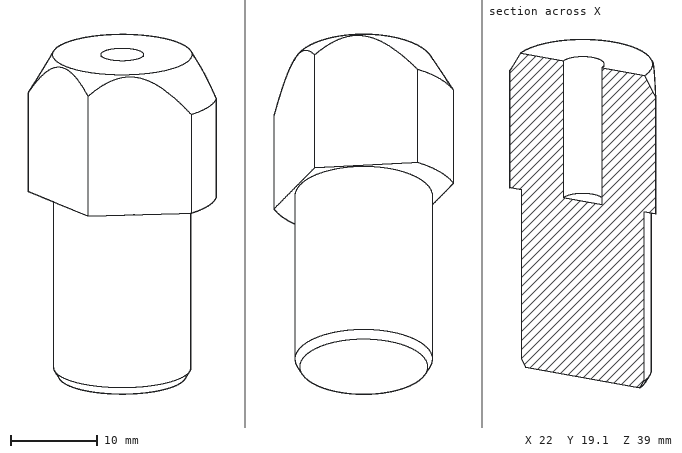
import cadquery as cq
import math

total_height = 39.0
head_height = 17.0
head_diameter = 22.0
head_width = 19.05
flat_angle = 30.0
top_diameter = 16.22
bevel_angle = 30.0
shank_diameter = 16.0
tip_chamfer_height = 0.98
tip_chamfer_angle = 30.0
hole_diameter = 5.0
hole_depth = head_height

shank_height = total_height - head_height
head_radius = head_diameter / 2
top_radius = top_diameter / 2
bevel_height = (head_radius - top_radius) / math.tan(math.radians(bevel_angle))
tip_chamfer_width = tip_chamfer_height * math.tan(math.radians(tip_chamfer_angle))


def make_head():
    """Round, cone-topped blank trimmed by four flats that form a rhombus."""
    blank = (
        cq.Workplane("XZ")
        .moveTo(0, shank_height)
        .lineTo(head_radius, shank_height)
        .lineTo(head_radius, total_height - bevel_height)
        .lineTo(top_radius, total_height)
        .lineTo(0, total_height)
        .close()
        .revolve(360, (0, 0, 0), (0, 1, 0))
    )
    half_width = head_width / 2
    half_length = half_width / math.tan(math.radians(flat_angle))
    flats = (
        cq.Workplane("XY", origin=(0, 0, shank_height))
        .polyline([(half_length, 0), (0, half_width), (-half_length, 0), (0, -half_width)])
        .close()
        .extrude(head_height)
    )
    return blank.intersect(flats)


def make_shank():
    """Cylinder below the head with a chamfered lower end."""
    shank_radius = shank_diameter / 2
    return (
        cq.Workplane("XZ")
        .lineTo(shank_radius - tip_chamfer_width, 0)
        .lineTo(shank_radius, tip_chamfer_height)
        .lineTo(shank_radius, shank_height)
        .lineTo(0, shank_height)
        .close()
        .revolve(360, (0, 0, 0), (0, 1, 0))
    )


def make_hole():
    """Flat-bottomed hole down from the top face."""
    return (
        cq.Workplane("XY", origin=(0, 0, total_height - hole_depth))
        .circle(hole_diameter / 2)
        .extrude(hole_depth)
    )


result = make_head().union(make_shank()).cut(make_hole())